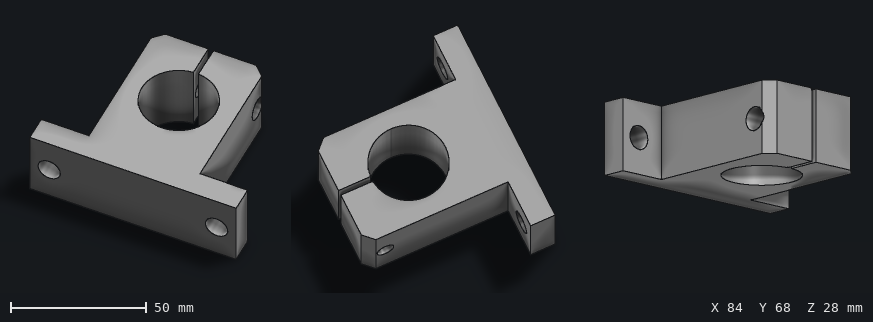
import cadquery as cq

base_length = 84.0
total_height = 68.0
thickness = 28.0

base_height = 10.1
block_width = 45.2
corner_chamfer = 4.0

bore_diameter = 30.0
bore_height = 40.0
slit_width = 2.0

mount_hole_diameter = 9.0
mount_hole_spacing = 68.0
clamp_hole_diameter = 6.7
clamp_clearance_diameter = 9.0
clamp_hole_from_top = 8.0

mid_z = thickness / 2


def make_body():
    """Inverted-T profile with chamfered top corners."""
    base = cq.Workplane("XY").box(base_length, base_height, thickness, centered=(True, False, False))
    block = (
        cq.Workplane("XY")
        .box(block_width, total_height, thickness, centered=(True, False, False))
        .edges("|Z and >Y")
        .chamfer(corner_chamfer)
    )
    return base.union(block)


def make_shaft_bore():
    """Through bore for the shaft, along Z."""
    return cq.Workplane("XY").center(0, bore_height).circle(bore_diameter / 2).extrude(thickness)


def make_slit():
    """Slit from the bore centre out through the top of the block."""
    return (
        cq.Workplane("XY", origin=(0, bore_height, 0))
        .box(slit_width, total_height - bore_height, thickness, centered=(True, False, False))
    )


def make_mount_holes():
    """Two holes through the base flange, along Y."""
    half_spacing = mount_hole_spacing / 2
    return (
        cq.Workplane("XZ", origin=(0, 0, mid_z))
        .pushPoints([(-half_spacing, 0), (half_spacing, 0)])
        .circle(mount_hole_diameter / 2)
        .extrude(-base_height)
    )


def make_clamp_hole(diameter, jaw_side):
    """Clamp screw hole through one jaw, from the slit outwards; jaw_side is -1 or 1 along X."""
    return (
        cq.Workplane("YZ", origin=(0, total_height - clamp_hole_from_top, mid_z))
        .circle(diameter / 2)
        .extrude(jaw_side * block_width / 2)
    )


result = (
    make_body()
    .cut(make_shaft_bore())
    .cut(make_slit())
    .cut(make_mount_holes())
    .cut(make_clamp_hole(clamp_hole_diameter, -1))
    .cut(make_clamp_hole(clamp_clearance_diameter, 1))
)